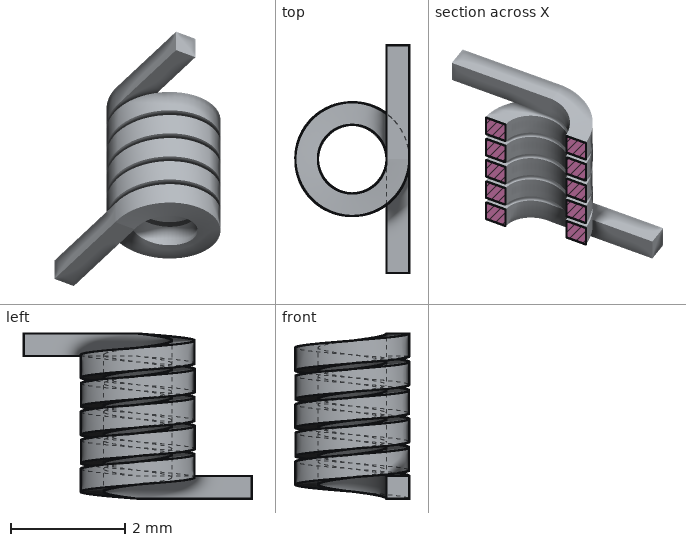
import cadquery as cq

wire = 0.4
outer_diameter = 2.0
pitch = 0.5
turns = 5
leg_length = 2.0

mean_radius = (outer_diameter - wire) / 2
rise = pitch * turns


def wire_section(height):
    """Square wire section in the XZ plane, centred on the +X side of the coil."""
    return (
        cq.Workplane("XZ")
        .center(mean_radius, height)
        .rect(wire, wire)
    )


def make_coil():
    """Right-handed helical coil that starts and ends on the +X side."""
    path = cq.Workplane(cq.Wire.makeHelix(pitch, rise, mean_radius))
    return wire_section(0).sweep(path, isFrenet=True)


lower_leg = wire_section(0).extrude(leg_length)
upper_leg = wire_section(rise).extrude(-leg_length)

spring = make_coil().union(lower_leg).union(upper_leg)
result = spring.translate((0, 0, wire / 2))